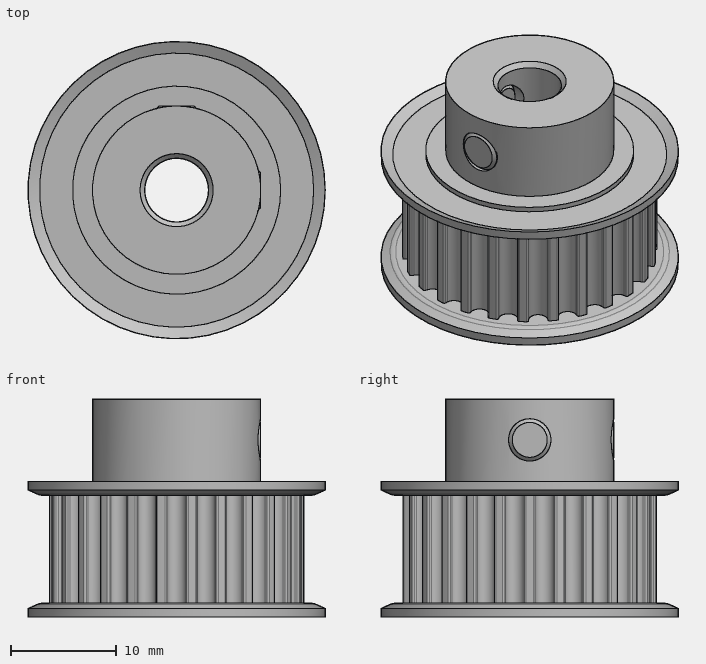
import cadquery as cq
import math


TOOTH_COUNT = 26
BELT_PITCH = 3.0
PITCH_LINE_OFFSET = 0.38
TIP_RADIUS = TOOTH_COUNT * BELT_PITCH / (2 * math.pi) - PITCH_LINE_OFFSET
GROOVE_DEPTH = 1.2
GROOVE_RADIUS = 0.9
FLANK_ANGLE = math.radians(8)
GROOVE_CENTRE_RADIUS = TIP_RADIUS - GROOVE_DEPTH + GROOVE_RADIUS
TIP_FILLET = 0.18

FLANGE_RADIUS = 14.05
DISH_RADIUS = 12.95
DISH_DEPTH = 0.5
SHEET_THICKNESS = 0.82
FLANGE_DEPTH = DISH_DEPTH + SHEET_THICKNESS
BEND_FILLET = 1.3
DISC_RADIUS = 9.83

BODY_HEIGHT = 12.83
TOTAL_HEIGHT = 20.6

HUB_RADIUS = 7.95
BORE_RADIUS = 3.0
BORE_CHAMFER = 0.45

SCREW_RADIUS = 2.0
SCREW_CHAMFER = 0.35
SCREW_HEIGHT = 16.75
SCREW_LENGTH = HUB_RADIUS - BORE_RADIUS
SCREW_DIRECTIONS = ((1, 0, 0), (0, 1, 0))


def cylinder(radius, bottom, top):
    return cq.Workplane("XY").workplane(offset=bottom).circle(radius).extrude(top - bottom)


def make_groove_cutter():
    """Round-bottomed slot on the -Y side whose tangent flanks widen outwards past the tooth tips."""
    bottom = GROOVE_DEPTH - TIP_RADIUS
    centre = -GROOVE_CENTRE_RADIUS
    mouth = -FLANGE_RADIUS
    flank_x = GROOVE_RADIUS * math.cos(FLANK_ANGLE)
    flank_y = centre + GROOVE_RADIUS * math.sin(FLANK_ANGLE)
    mouth_x = flank_x + (flank_y - mouth) * math.tan(FLANK_ANGLE)
    return (
        cq.Workplane("XY")
        .moveTo(-mouth_x, mouth)
        .lineTo(-flank_x, flank_y)
        .threePointArc((0, bottom), (flank_x, flank_y))
        .lineTo(mouth_x, mouth)
        .close()
        .extrude(BODY_HEIGHT)
    )


def axis_distance(edge):
    centre = edge.Center()
    return math.hypot(centre.x, centre.y)


def make_drum():
    """Toothed drum with rounded tooth tips."""
    drum = cylinder(TIP_RADIUS, FLANGE_DEPTH, BODY_HEIGHT - FLANGE_DEPTH)
    drum = drum.rotate((0, 0, 0), (0, 0, 1), -90)
    cutter = make_groove_cutter()
    for index in range(TOOTH_COUNT):
        drum = drum.cut(cutter.rotate((0, 0, 0), (0, 0, 1), index * 360 / TOOTH_COUNT))
    corner_limit = TIP_RADIUS - TIP_FILLET
    return drum.edges("|Z").filter(lambda edge: axis_distance(edge) > corner_limit).fillet(TIP_FILLET)


def make_bottom_flange():
    """Dished disc whose rim bends down, away from the teeth."""
    flange = (
        cq.Workplane("XZ")
        .moveTo(0, DISH_DEPTH)
        .lineTo(DISH_RADIUS, DISH_DEPTH)
        .lineTo(FLANGE_RADIUS, 0)
        .lineTo(FLANGE_RADIUS, SHEET_THICKNESS)
        .lineTo(DISH_RADIUS, FLANGE_DEPTH)
        .lineTo(0, FLANGE_DEPTH)
        .close()
        .revolve(360, (0, 0, 0), (0, 1, 0))
    )
    return flange.faces(">Z").edges().fillet(BEND_FILLET)


def make_top_flange():
    """Mirror image of the bottom flange at the hub end of the drum."""
    return make_bottom_flange().mirror("XY").translate((0, 0, BODY_HEIGHT))


def bore_out(body):
    """Through bore along the axis, chamfered at the hub face."""
    bored = body.cut(cylinder(BORE_RADIUS, 0, TOTAL_HEIGHT))
    countersink = cq.Solid.makeCone(
        BORE_RADIUS,
        BORE_RADIUS + BORE_CHAMFER,
        BORE_CHAMFER,
        cq.Vector(0, 0, TOTAL_HEIGHT - BORE_CHAMFER),
    )
    return bored.cut(cq.Workplane(countersink))


def fit_set_screw(body, direction):
    """Radial hole through the hub wall, filled by a screw with chamfered ends."""
    axis_plane = cq.Plane(origin=(0, 0, SCREW_HEIGHT), xDir=(0, 0, 1), normal=direction)
    hole = cq.Workplane(axis_plane).circle(SCREW_RADIUS).extrude(HUB_RADIUS)
    screw = (
        cq.Workplane(axis_plane)
        .workplane(offset=BORE_RADIUS)
        .circle(SCREW_RADIUS)
        .extrude(SCREW_LENGTH)
        .edges("%CIRCLE")
        .chamfer(SCREW_CHAMFER)
    )
    return body.cut(hole).union(screw)


def make_pulley():
    pulley = make_drum().union(make_bottom_flange()).union(make_top_flange())
    pulley = pulley.union(cylinder(DISC_RADIUS, 0, BODY_HEIGHT))
    pulley = pulley.union(cylinder(HUB_RADIUS, BODY_HEIGHT, TOTAL_HEIGHT))
    pulley = bore_out(pulley)
    for direction in SCREW_DIRECTIONS:
        pulley = fit_set_screw(pulley, direction)
    return pulley


result = make_pulley()